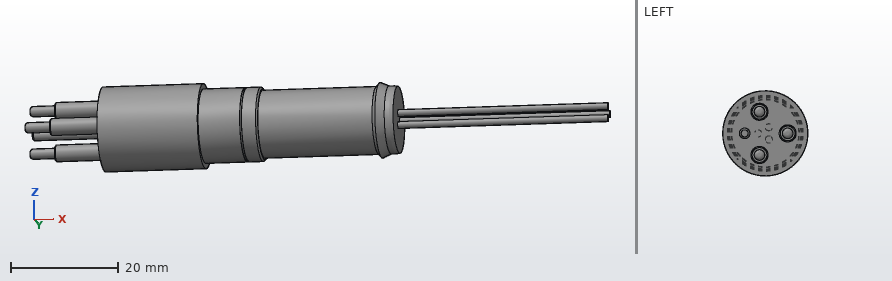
import cadquery as cq
import math

shoulder_start = 4.8
face_start = 14.3
flange_end = 33.3
collar_end = 44.5
rim_start = 66.1
rim_peak = 66.8
rim_cone_end = 68.4
body_end = 70.1
total_length = 109.9

flange_diameter = 15.9
collar_diameter = 14.0
barrel_diameter = 12.7
rim_diameter = 14.2
groove_center = 41.3
groove_width = 0.3
groove_depth = 0.16
edge_chamfer = 0.3
end_chamfer_length = 0.7
end_chamfer_depth = 0.1

pin_circle_radius = 4.2
pin_angles = (75, 180, 285)
pin_diameter = 3.2
pin_tip_diameter = 2.0
pin_tip_rounding = 0.7
pin_shoulder_chamfer = 0.2
key_pin_offset = 3.8
key_pin_diameter = 2.0
key_pin_chamfer = 0.3

wire_count = 3
wire_diameter = 1.3
wire_circle_radius = 1.3

embed_depth = 1.1


def rod(diameter, start, end, y=0.0, z=0.0):
    """Cylinder parallel to X, centered at (y, z)."""
    plane = cq.Workplane("YZ", origin=(start, y, z))
    return plane.circle(diameter / 2).extrude(end - start)


def polar(radius, angle):
    """Y and Z of a point at an angle in degrees measured from +Y."""
    radians = math.radians(angle)
    return radius * math.cos(radians), radius * math.sin(radians)


def rim():
    """Snap rim with a steep front face and a tapered rear face."""
    barrel_radius = barrel_diameter / 2
    rim_radius = rim_diameter / 2
    profile = [
        (rim_start, 0),
        (rim_start, barrel_radius),
        (rim_peak, rim_radius),
        (rim_cone_end, barrel_radius),
        (rim_cone_end, 0),
    ]
    outline = cq.Workplane("XY").polyline(profile).close()
    return outline.revolve(360, (0, 0, 0), (1, 0, 0))


def body():
    flange = rod(flange_diameter, face_start, flange_end)
    collar = rod(collar_diameter, flange_end, collar_end).faces(">X").chamfer(edge_chamfer)
    groove_start = groove_center - groove_width / 2
    groove_end = groove_center + groove_width / 2
    groove_floor_diameter = collar_diameter - 2 * groove_depth
    groove = rod(flange_diameter, groove_start, groove_end).cut(
        rod(groove_floor_diameter, groove_start, groove_end)
    )
    barrel = rod(barrel_diameter, collar_end, body_end)
    barrel = barrel.faces(">X").chamfer(end_chamfer_length, end_chamfer_depth)
    return flange.union(collar.cut(groove)).union(barrel).union(rim())


def contact_pin(y, z):
    shoulder = rod(pin_diameter, shoulder_start, face_start + embed_depth, y, z)
    shoulder = shoulder.faces("<X").chamfer(pin_shoulder_chamfer)
    tip = rod(pin_tip_diameter, 0, face_start, y, z).faces("<X").edges().fillet(pin_tip_rounding)
    return shoulder.union(tip)


def key_pin():
    pin = rod(key_pin_diameter, 0, face_start + embed_depth, key_pin_offset)
    return pin.faces("<X").chamfer(key_pin_chamfer)


result = body().union(key_pin())
for pin_angle in pin_angles:
    result = result.union(contact_pin(*polar(pin_circle_radius, pin_angle)))
for wire_index in range(wire_count):
    wire_y, wire_z = polar(wire_circle_radius, wire_index * 360 / wire_count)
    result = result.union(rod(wire_diameter, body_end - embed_depth, total_length, wire_y, wire_z))